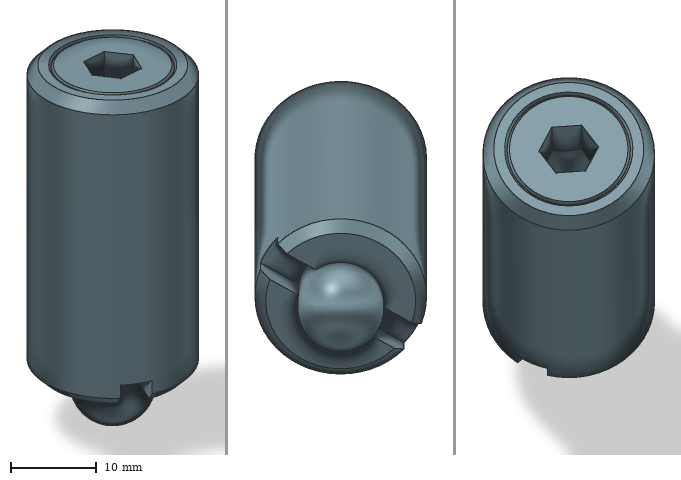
import cadquery as cq
import math

total_length = 47.0
housing_diameter = 20.0
pin_diameter = housing_diameter / 2
end_chamfer = 1.25

pin_radius = pin_diameter / 2
pin_protrusion = 7.0
pin_insertion = pin_diameter
pin_length = pin_protrusion + pin_insertion

slot_width = 3.85
slot_depth = 3.0

groove_outer_radius = 7.45
groove_inner_radius = 6.9
groove_root_radius = (groove_outer_radius + groove_inner_radius) / 2
groove_depth = groove_outer_radius - groove_root_radius

hex_across_flats = 6.0
hex_corner_radius = hex_across_flats / math.sqrt(3)
hex_depth = hex_across_flats
drill_point_angle = 118.0
drill_point_depth = hex_corner_radius / math.tan(math.radians(drill_point_angle / 2))


def make_pin():
    """Cylindrical pin with a hemispherical tip."""
    return (
        cq.Workplane("XZ")
        .moveTo(0, 0)
        .radiusArc((pin_radius, pin_radius), -pin_radius)
        .lineTo(pin_radius, pin_length)
        .lineTo(0, pin_length)
        .close()
        .revolve(360, (0, 0, 0), (0, 1, 0))
    )


def make_housing_blank():
    """Cylinder chamfered at both ends."""
    return (
        cq.Workplane("XY", origin=(0, 0, pin_protrusion))
        .circle(housing_diameter / 2)
        .extrude(total_length - pin_protrusion)
        .faces("<Z or >Z")
        .chamfer(end_chamfer)
    )


def make_pin_bore():
    """Blind bore that the pin fills."""
    return (
        cq.Workplane("XY", origin=(0, 0, pin_protrusion))
        .circle(pin_radius)
        .extrude(pin_insertion)
    )


def make_slot():
    """Slot along X, right across the lower end."""
    return (
        cq.Workplane("XY", origin=(0, 0, pin_protrusion))
        .rect(housing_diameter, slot_width)
        .extrude(slot_depth)
    )


def make_groove():
    """Ring of triangular section sunk into the top face."""
    return (
        cq.Workplane("XZ")
        .moveTo(groove_inner_radius, total_length)
        .lineTo(groove_root_radius, total_length - groove_depth)
        .lineTo(groove_outer_radius, total_length)
        .close()
        .revolve(360, (0, 0, 0), (0, 1, 0))
    )


def make_hex_socket():
    """Hexagonal prism, corners on X, trimmed below by a downward cone."""
    hexagon = (
        cq.Workplane("XY", origin=(0, 0, total_length))
        .polygon(6, 2 * hex_corner_radius)
        .extrude(-(hex_depth + drill_point_depth))
    )
    drill_envelope = (
        cq.Workplane("XZ")
        .moveTo(0, total_length)
        .lineTo(hex_corner_radius, total_length)
        .lineTo(hex_corner_radius, total_length - hex_depth)
        .lineTo(0, total_length - hex_depth - drill_point_depth)
        .close()
        .revolve(360, (0, 0, 0), (0, 1, 0))
    )
    return hexagon.intersect(drill_envelope)


def make_housing():
    """Housing with its bore, slot, groove and socket."""
    return (
        make_housing_blank()
        .cut(make_pin_bore())
        .cut(make_slot())
        .cut(make_groove())
        .cut(make_hex_socket())
    )


housing = make_housing()
pin = make_pin()

result = cq.Compound.makeCompound([housing.solids().val(), pin.val()])